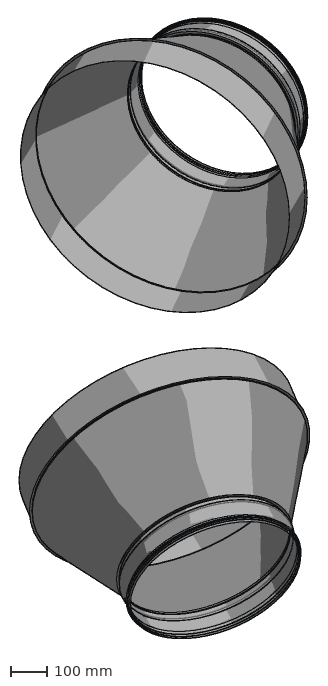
import cadquery as cq


total_length = 498.5
sheet = 0.4

collar_radius = 498.5 / 2
small_collar_length = 90.5
hem_length = 7.0
hem_round = 2.0

groove_radius = 493.5 / 2
groove_end = 25.0
ramp_end = 30.0
ramp_round = 5.0

bead_radius = 509.0 / 2
bead_middle = 71.0
bead_width = 7.0
bead_crest_round = 2.5
bead_root_round = 2.5

large_radius = 802.0 / 2
large_collar_length = 112.0

small_flange_radius = 513.0 / 2
large_flange_radius = 816 / 2
flange_width = 2.5
flange_tip_round = 1.15
large_root_fillet = 1.0

small_neck_length = 6.0
large_neck_length = 2.0

gasket_end = 15.5
lip_shoulder_radius = 504.0 / 2
lip_shoulder = 10.0
lip_tip_radius = 509.0 / 2
lip_tip = 15.0
lip_tip_thickness = 1.0
lip_root_radius = 502.0 / 2
lip_root = 13.0

bead_start = bead_middle - bead_width / 2
bead_end = bead_middle + bead_width / 2
large_collar_start = total_length - large_collar_length
cone_start = small_collar_length + small_neck_length
cone_end = large_collar_start - large_neck_length


def turn(points):
    """Revolve a closed outline of (radius, station) points about the Y axis."""
    outline = [(radius, total_length / 2 - station) for radius, station in points]
    return cq.Workplane("XY").polyline(outline).close().revolve(360, (0, 0, 0), (0, 1, 0))


def round_circle(body, radius, station, size):
    """Fillet the circular edge found at a radius and a station."""
    y = total_length / 2 - station
    tolerance = 0.01
    circles = [
        edge
        for edge in body.edges("%CIRCLE").vals()
        if abs(edge.radius() - radius) < tolerance and abs(edge.Center().y - y) < tolerance
    ]
    return body.newObject(circles).fillet(size)


def solid_core(surface_points):
    """Solid filling the space between the axis and a turned outer surface."""
    first_station = surface_points[0][1]
    last_station = surface_points[-1][1]
    return turn([(0, first_station), *surface_points, (0, last_station)])


def hollow(core):
    """Turn a solid core into an open-ended sheet tube with the same outer surface."""
    return core.faces("<Y or >Y").shell(-sheet)


def plain_ring(inner_radius, outer_radius, start, end):
    return turn([(inner_radius, start), (outer_radius, start), (outer_radius, end), (inner_radius, end)])


def flange(tube_radius, tip_radius, start):
    """Flange with a rounded tip, reaching through the wall of its tube."""
    end = start + flange_width
    ring = plain_ring(tube_radius - sheet, tip_radius, start, end)
    for station in (start, end):
        ring = round_circle(ring, tip_radius, station, flange_tip_round)
    return ring


def make_small_collar():
    core = solid_core(
        [
            (groove_radius, 0),
            (groove_radius, groove_end),
            (collar_radius, ramp_end),
            (collar_radius, bead_start),
            (bead_radius, bead_start),
            (bead_radius, bead_end),
            (collar_radius, bead_end),
            (collar_radius, small_collar_length),
        ]
    )
    core = round_circle(core, collar_radius, ramp_end, ramp_round)
    for station in (bead_start, bead_end):
        core = round_circle(core, bead_radius, station, bead_crest_round)
        core = round_circle(core, collar_radius, station, bead_root_round)

    hem = plain_ring(groove_radius - sheet, collar_radius, 0, hem_length)
    hem = round_circle(hem, collar_radius, 0, hem_round)

    flange_start = small_collar_length - flange_width
    return hollow(core).union(hem).union(flange(collar_radius, small_flange_radius, flange_start))


def make_gasket():
    return turn(
        [
            (groove_radius, hem_length),
            (collar_radius, hem_length),
            (lip_shoulder_radius, lip_shoulder),
            (lip_tip_radius, lip_tip - lip_tip_thickness),
            (lip_tip_radius, lip_tip),
            (lip_root_radius, lip_root),
            (collar_radius, gasket_end),
            (groove_radius, gasket_end),
        ]
    )


def make_cone():
    return hollow(
        solid_core(
            [
                (collar_radius, small_collar_length),
                (collar_radius, cone_start),
                (large_radius, cone_end),
                (large_radius, large_collar_start),
            ]
        )
    )


def make_large_collar():
    tube = hollow(solid_core([(large_radius, large_collar_start), (large_radius, total_length)]))
    collar = tube.union(flange(large_radius, large_flange_radius, large_collar_start))
    return round_circle(collar, large_radius, large_collar_start + flange_width, large_root_fillet)


small_collar = make_small_collar()
gasket = make_gasket()
cone = make_cone()
large_collar = make_large_collar()

result = cq.Compound.makeCompound(
    [body.solids().val() for body in (small_collar, gasket, cone, large_collar)]
)